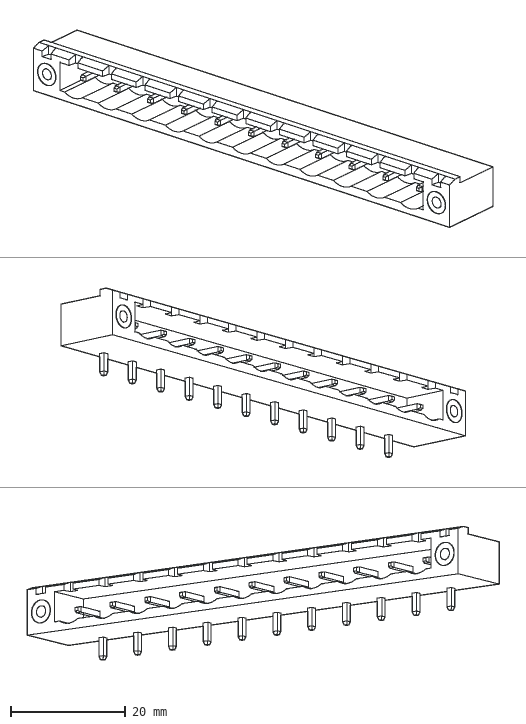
import cadquery as cq

PIN_COUNT = 11
PITCH = 7.62
PIN_SIZE = 1.0
PIN_PROTRUSION = 3.9
PIN_TIP = 0.2
PIN_TIP_HEIGHT = 0.6
PIN_LEG_Y = 9.95
PIN_Z = 3.95
PIN_FRONT_Y = 2.3

LENGTH = 94.4
DEPTH = 12.0
HEIGHT = 8.7
BODY_HEIGHT = 7.55
LIP_DEPTH = 2.95
SLOPE_DEPTH = 1.55
SLOPE_DROP = 0.6

CAVITY_LENGTH = 82.4
CAVITY_FLOOR_Z = 1.7
CAVITY_TOP_Z = 7.05
CAVITY_DEPTH = 8.4
SCALLOP_WIDTH = 4.0
SCALLOP_SAG = 0.6

NOTCH_FRONT_WIDTH = 2.0
NOTCH_BACK_WIDTH = 1.6
NOTCH_DEPTH = SLOPE_DEPTH

INSERT_OFFSET = 3.0
INSERT_Z = 3.9
INSERT_DIAMETER = 4.1
INSERT_RECESS = 0.1
SCREW_HOLE_DIAMETER = 2.0
SCREW_HOLE_DEPTH = 8.0

PIN_XS = [(i - (PIN_COUNT - 1) / 2) * PITCH for i in range(PIN_COUNT)]
INSERT_X = LENGTH / 2 - INSERT_OFFSET
INSERT_XS = [-INSERT_X, INSERT_X]


def make_housing():
    """Bar with a raised front lip whose top slopes down to the front face."""
    profile = [
        (0, 0),
        (DEPTH, 0),
        (DEPTH, BODY_HEIGHT),
        (LIP_DEPTH, BODY_HEIGHT),
        (LIP_DEPTH, HEIGHT),
        (SLOPE_DEPTH, HEIGHT),
        (0, HEIGHT - SLOPE_DROP),
    ]
    return cq.Workplane("YZ").polyline(profile).close().extrude(LENGTH / 2, both=True)


def front_sketch():
    """Front-face plane whose extrusions run into the housing."""
    return cq.Workplane("XZ")


def make_cavity():
    """Rectangular pocket with a rounded trough in its floor below every pin."""
    half = CAVITY_LENGTH / 2
    outline = front_sketch().moveTo(-half, CAVITY_TOP_Z).lineTo(-half, CAVITY_FLOOR_Z)
    for x in PIN_XS:
        outline = outline.lineTo(x - SCALLOP_WIDTH / 2, CAVITY_FLOOR_Z).threePointArc(
            (x, CAVITY_FLOOR_Z - SCALLOP_SAG),
            (x + SCALLOP_WIDTH / 2, CAVITY_FLOOR_Z),
        )
    outline = outline.lineTo(half, CAVITY_FLOOR_Z).lineTo(half, CAVITY_TOP_Z).close()
    return outline.extrude(-CAVITY_DEPTH)


def make_notch(x):
    """Notch from the lip top down to the level of the cavity ceiling."""
    corners = [
        (x - NOTCH_FRONT_WIDTH / 2, 0),
        (x + NOTCH_FRONT_WIDTH / 2, 0),
        (x + NOTCH_BACK_WIDTH / 2, NOTCH_DEPTH),
        (x - NOTCH_BACK_WIDTH / 2, NOTCH_DEPTH),
    ]
    floor = cq.Workplane("XY").workplane(offset=CAVITY_TOP_Z)
    return floor.polyline(corners).close().extrude(HEIGHT - CAVITY_TOP_Z)


def make_insert_hole(x):
    """Blind screw hole inside a shallow round recess."""
    centre = front_sketch().center(x, INSERT_Z)
    hole = centre.circle(SCREW_HOLE_DIAMETER / 2).extrude(-SCREW_HOLE_DEPTH)
    recess = centre.circle(INSERT_DIAMETER / 2).extrude(-INSERT_RECESS)
    return hole.union(recess)


def square_bar(plane, length):
    """Square bar along the plane normal, ending in a tapered tip."""
    tip_size = PIN_SIZE - 2 * PIN_TIP
    shank_length = length - PIN_TIP_HEIGHT
    shank = cq.Workplane(plane).rect(PIN_SIZE, PIN_SIZE).extrude(shank_length)
    tip = (
        cq.Workplane(plane)
        .workplane(offset=shank_length)
        .rect(PIN_SIZE, PIN_SIZE)
        .workplane(offset=PIN_TIP_HEIGHT)
        .rect(tip_size, tip_size)
        .loft(ruled=True)
    )
    return shank.union(tip)


def make_pin(x):
    """Angled pin: contact pointing to the front, solder leg pointing down."""
    bend = (x, PIN_LEG_Y, PIN_Z)
    contact_plane = cq.Plane(origin=bend, xDir=(1, 0, 0), normal=(0, -1, 0))
    leg_plane = cq.Plane(origin=bend, xDir=(1, 0, 0), normal=(0, 0, -1))
    contact = square_bar(contact_plane, PIN_LEG_Y - PIN_FRONT_Y)
    leg = square_bar(leg_plane, PIN_Z + PIN_PROTRUSION)
    return contact.union(leg)


result = make_housing().cut(make_cavity())
for notch_x in PIN_XS + INSERT_XS:
    result = result.cut(make_notch(notch_x))
for insert_x in INSERT_XS:
    result = result.cut(make_insert_hole(insert_x))
for pin_x in PIN_XS:
    result = result.union(make_pin(pin_x))